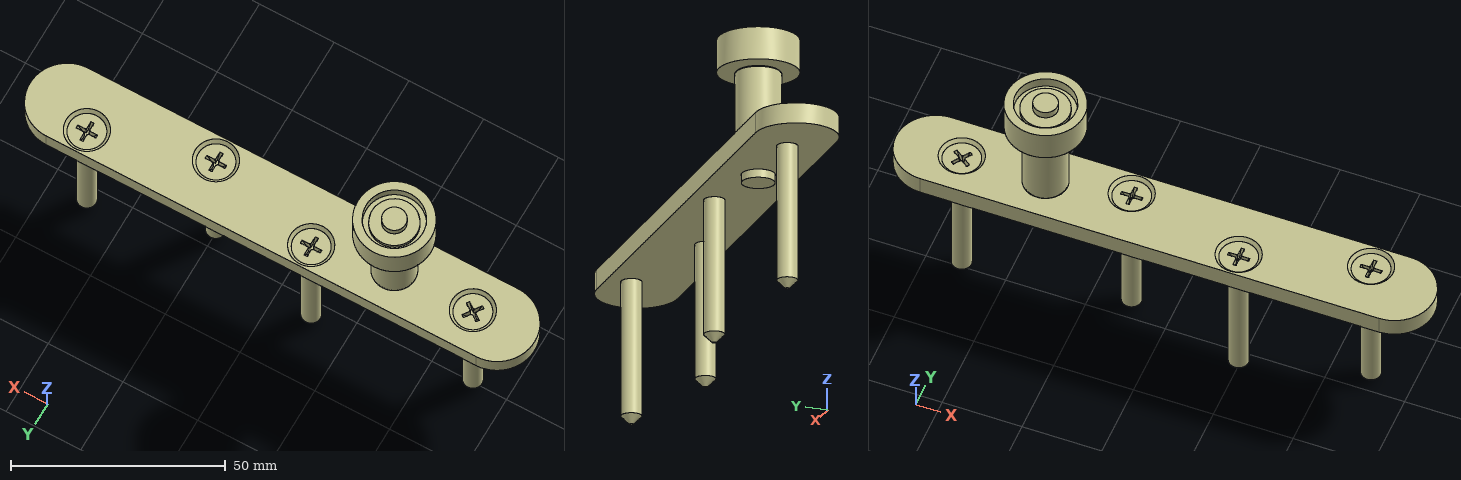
import cadquery as cq

plate_length = 135.0
plate_width = 20.0
plate_thickness = 5.0

screw_places = [(-51.0, 0.0, 55.0), (-10.0, 4.0, 0.0), (20.0, -4.0, 0.0), (50.0, 4.0, 0.0)]
countersink_diameter = 11.0
screw_head_diameter = 9.3
screw_diameter = 5.0
screw_tip_z = -40.18
screw_tip_diameter = 1.0
cross_length = 5.3
cross_floor_length = 2.8
cross_width = 0.8
cross_depth = 2.0
cross_centre_diameter = 1.6

head_sink = (countersink_diameter - screw_head_diameter) / 2
tip_cone_height = (screw_diameter - screw_tip_diameter) / 2

post_x = -30.0
sleeve_diameter = 11.0
sleeve_height = 20.2
sleeve_chamfer = 0.35
bore_diameter = 8.0
knob_diameter = 19.5
knob_height = 8.0
knob_recess_diameter = 15.0
knob_recess_depth = 2.6
spindle_diameter = 7.9
spindle_tail = 2.0
spindle_head_diameter = 12.0
spindle_head_height = 1.0
nub_diameter = 6.0
nub_top_z = 28.5

knob_top_z = sleeve_height + knob_height
recess_floor_z = knob_top_z - knob_recess_depth
spindle_head_top_z = recess_floor_z + spindle_head_height
spindle_bottom_z = -plate_thickness - spindle_tail


def cylinder(diameter, bottom_z, top_z):
    """Upright cylinder on the Z axis."""
    return cq.Workplane("XY").workplane(offset=bottom_z).circle(diameter / 2).extrude(top_z - bottom_z)


def screw_blank(head_top_z, head_diameter):
    """Solid of revolution: countersunk head, shank and blunt conical tip."""
    shank_radius = screw_diameter / 2
    head_radius = head_diameter / 2
    return (
        cq.Workplane("XZ")
        .moveTo(0, head_top_z)
        .lineTo(head_radius, head_top_z)
        .lineTo(shank_radius, head_top_z - (head_radius - shank_radius))
        .lineTo(shank_radius, screw_tip_z + tip_cone_height)
        .lineTo(screw_tip_diameter / 2, screw_tip_z)
        .lineTo(0, screw_tip_z)
        .close()
        .revolve(360, (0, 0, 0), (0, 1, 0))
    )


def cross_slot():
    """Narrow slot along X whose ends slope inwards to a short floor."""
    floor_z = -head_sink - cross_depth
    return (
        cq.Workplane("XZ")
        .moveTo(-cross_length / 2, -head_sink)
        .lineTo(cross_length / 2, -head_sink)
        .lineTo(cross_floor_length / 2, floor_z)
        .lineTo(-cross_floor_length / 2, floor_z)
        .close()
        .extrude(cross_width / 2, both=True)
    )


def cross_centre():
    """Cone that tapers from the screw head down to a point at the floor of the cross."""
    return (
        cq.Workplane("XZ")
        .moveTo(0, -head_sink)
        .lineTo(cross_centre_diameter / 2, -head_sink)
        .lineTo(0, -head_sink - cross_depth)
        .close()
        .revolve(360, (0, 0, 0), (0, 1, 0))
    )


def make_screw(x, y, turn):
    """Screw with its head sunk below the plate top and a cross recess."""
    screw = screw_blank(-head_sink, screw_head_diameter)
    for arm_turn in (0, 90):
        screw = screw.cut(cross_slot().rotate((0, 0, 0), (0, 0, 1), turn + arm_turn))
    screw = screw.cut(cross_centre())
    return screw.translate((x, y, 0))


def make_plate():
    """Round-ended plate with countersunk screw holes and the spindle hole."""
    plate = cq.Workplane("XY").slot2D(plate_length, plate_width).extrude(-plate_thickness)
    for x, y, _ in screw_places:
        plate = plate.cut(screw_blank(0, countersink_diameter).translate((x, y, 0)))
    return plate.cut(cylinder(bore_diameter, -plate_thickness, 0).translate((post_x, 0, 0)))


def make_sleeve():
    """Tube standing on the plate, with both outer end edges chamfered."""
    sleeve = cylinder(sleeve_diameter, 0, sleeve_height).edges("%CIRCLE").chamfer(sleeve_chamfer)
    return sleeve.cut(cylinder(bore_diameter, 0, sleeve_height)).translate((post_x, 0, 0))


def make_knob():
    """Round knob on the sleeve, recessed on top for the spindle head."""
    knob = cylinder(knob_diameter, sleeve_height, knob_top_z)
    knob = knob.cut(cylinder(knob_recess_diameter, recess_floor_z, knob_top_z))
    return knob.cut(cylinder(bore_diameter, sleeve_height, knob_top_z)).translate((post_x, 0, 0))


def make_spindle():
    """Spindle through plate, sleeve and knob, with a flat head and a nub."""
    spindle = cylinder(spindle_diameter, spindle_bottom_z, recess_floor_z)
    spindle = spindle.union(cylinder(spindle_head_diameter, recess_floor_z, spindle_head_top_z))
    spindle = spindle.union(cylinder(nub_diameter, spindle_head_top_z, nub_top_z))
    return spindle.translate((post_x, 0, 0))


plate = make_plate()
screws = [make_screw(x, y, turn) for x, y, turn in screw_places]
sleeve = make_sleeve()
knob = make_knob()
spindle = make_spindle()

result = cq.Compound.makeCompound(
    [plate.val(), *[screw.val() for screw in screws], sleeve.val(), knob.val(), spindle.val()]
)